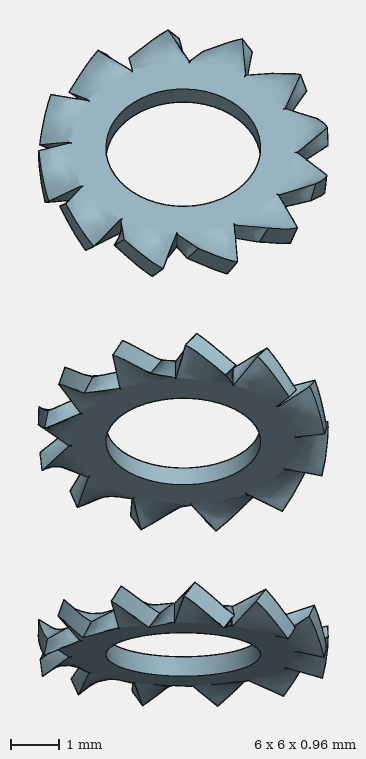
import cadquery as cq
import math

outer_diameter = 6.0
bore_diameter = 3.2
ring_thickness = 0.42
tooth_count = 12

root_distance = 2.3
root_width = 1.2
tip_width = 1.08
tip_thickness = 0.36
twist_angle = 40.0

outer_radius = outer_diameter / 2
tooth_pitch = 360 / tooth_count
half_pitch = math.radians(tooth_pitch / 2)


def make_ring():
    """Ring with one flat per tooth and a small V notch between neighbouring flats."""
    flat_radius = math.hypot(root_distance, root_width / 2)
    flat_half_angle = math.atan2(root_width / 2, root_distance)
    notch_radius = root_width / 2 / math.sin(half_pitch)

    outline = []
    for index in range(tooth_count):
        middle = math.radians(index * tooth_pitch)
        corners = (
            (flat_radius, middle - flat_half_angle),
            (flat_radius, middle + flat_half_angle),
            (notch_radius, middle + half_pitch),
        )
        for radius, angle in corners:
            outline.append((radius * math.cos(angle), radius * math.sin(angle)))

    return (
        cq.Workplane("XY")
        .workplane(offset=-ring_thickness / 2)
        .polyline(outline)
        .close()
        .circle(bore_diameter / 2)
        .extrude(ring_thickness)
    )


def make_tooth():
    """Tooth along +X: straight-ruled from the flat to the twisted tip section."""
    return (
        cq.Workplane("YZ")
        .workplane(offset=root_distance)
        .rect(root_width, ring_thickness)
        .workplane(offset=outer_radius - root_distance)
        .transformed(rotate=(0, 0, -twist_angle))
        .rect(tip_width, tip_thickness)
        .loft(ruled=True)
    )


def make_rim_envelope():
    """Cylinder that rounds the tooth tips to the outer diameter."""
    return cq.Workplane("XY").circle(outer_radius).extrude(outer_diameter, both=True)


tooth = make_tooth().intersect(make_rim_envelope())
result = make_ring()
for index in range(tooth_count):
    result = result.union(tooth.rotate((0, 0, 0), (0, 0, 1), index * tooth_pitch))